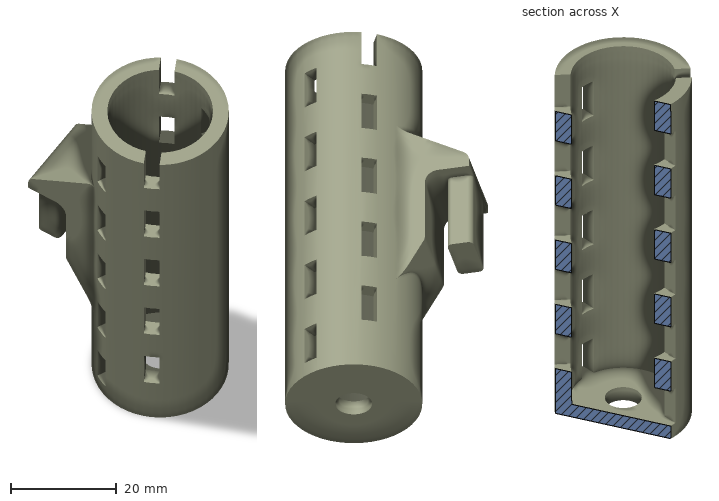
import cadquery as cq
import math

height = 77.0
outer_radius = 26.0 / 2
bore_radius = 20.0 / 2
wall = outer_radius - bore_radius
floor_thickness = wall
drain_diameter = 7.0

slot_width = 3.0
slot_height = 7.9
slot_count = 5
slot_angle = 26.2
slot_pitch = (height - floor_thickness) / slot_count

clip_reach = 37.0 - outer_radius
clip_width = 16.0
clip_center_y = -1.0
clip_inner_x = -15.5
clip_root_x = -7.7
clip_bottom_z = 31.0
gap_top_z = 46.5
nose_top_z = 49.3
roof_angle = 30.0
lower_angle = 60.0
nose_radius = 2.0
gap_radius = 2.5
lower_radius = 2.0
flare_radius = 3.0

tongue_thickness = 5.0
tongue_width = 10.0
tongue_edge_radius = 1.0


def flare_points(side):
    """Start, middle and end of the flare on one side (-1 or 1), from the clip's side face to the tube."""
    side_y = clip_center_y + side * clip_width / 2
    center_y = side_y + side * flare_radius
    center_distance = outer_radius + flare_radius
    center_x = -math.sqrt(center_distance**2 - center_y**2)
    toward_side = -side * math.pi / 2
    toward_axis = math.atan2(-center_y, -center_x)
    points = []
    for angle in (toward_side, (toward_side + toward_axis) / 2, toward_axis):
        x = center_x + flare_radius * math.cos(angle)
        y = center_y + flare_radius * math.sin(angle)
        points.append((x, y))
    return points


def make_clip_plan():
    """Clip seen along Z, with flares tangent to its sides and to the tube, as a full-height prism."""
    front_start, front_middle, front_end = flare_points(-1)
    back_start, back_middle, back_end = flare_points(1)
    return (
        cq.Workplane("XY")
        .moveTo(-clip_reach, front_start[1])
        .lineTo(*front_start)
        .threePointArc(front_middle, front_end)
        .lineTo(*back_end)
        .threePointArc(back_middle, back_start)
        .lineTo(-clip_reach, back_start[1])
        .close()
        .extrude(height)
    )


def make_clip_profile():
    """Clip seen along Y, wider than the plan so that the plan sets the sides."""
    roof_rise = (clip_reach + clip_root_x) * math.tan(math.radians(roof_angle))
    lower_drop = (clip_root_x - clip_inner_x) * math.tan(math.radians(lower_angle))
    outline = [
        (-clip_reach, gap_top_z),
        (-clip_reach, nose_top_z),
        (clip_root_x, nose_top_z + roof_rise),
        (clip_root_x, clip_bottom_z - lower_drop),
        (clip_inner_x, clip_bottom_z),
        (clip_inner_x, gap_top_z),
    ]
    profile = cq.Workplane("XZ").polyline(outline).close().extrude(outer_radius, both=True)
    rounded_corners = (
        (-clip_reach, nose_top_z, nose_radius),
        (clip_inner_x, gap_top_z, gap_radius),
        (clip_inner_x, clip_bottom_z, lower_radius),
    )
    for x, z, radius in rounded_corners:
        corner = cq.selectors.NearestToPointSelector((x, 0, z))
        profile = profile.edges("|Y").edges(corner).fillet(radius)
    return profile


def make_tongue():
    tongue_height = gap_top_z - clip_bottom_z
    return (
        cq.Workplane("XY")
        .box(tongue_thickness, tongue_width, tongue_height)
        .edges("|Z")
        .fillet(tongue_edge_radius)
        .translate((tongue_thickness / 2 - clip_reach, clip_center_y, clip_bottom_z + tongue_height / 2))
    )


def make_slot_column(angle, first_z):
    """Bars across the whole tube, each cutting two opposite windows."""
    bar_length = 3 * outer_radius
    bar = cq.Workplane("XY").box(slot_width, bar_length, slot_height, centered=(True, True, False))
    column = cq.Workplane("XY")
    for index in range(slot_count):
        column = column.add(bar.translate((0, 0, first_z + index * slot_pitch)))
    return column.combine().rotate((0, 0, 0), (0, 0, 1), angle)


body = cq.Workplane("XY").circle(outer_radius).extrude(height)
body = body.union(make_clip_plan().intersect(make_clip_profile()))
body = body.union(make_tongue())

bore = cq.Workplane("XY").workplane(offset=floor_thickness).circle(bore_radius).extrude(height)
drain = cq.Workplane("XY").circle(drain_diameter / 2).extrude(floor_thickness)
body = body.cut(bore).cut(drain)

body = body.cut(make_slot_column(-slot_angle, floor_thickness))
result = body.cut(make_slot_column(slot_angle, floor_thickness + slot_pitch / 2))